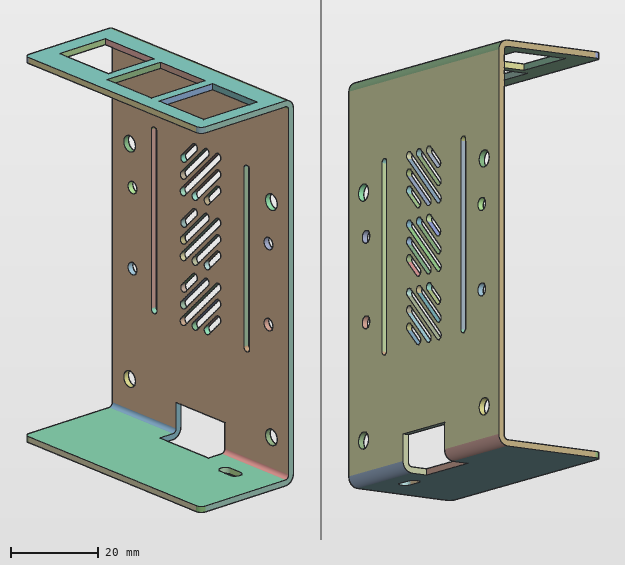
import cadquery as cq
import math

width = 61.0
depth = 28.5
height = 95.0
thickness = 1.5
inner_bend_radius = 1.0
outer_bend_radius = inner_bend_radius + thickness
flange_corner_radius = 1.5

top_z = height / 2
bottom_z = -height / 2

mount_hole_diameter = 4.0
mount_hole_x = 24.5
mount_hole_pitch = 58.0
upper_mount_hole_z = 20.5
small_hole_diameter = 3.0
small_hole_x = 23.5
small_hole_z = 10.0

slot_width = 1.9
slot_block_center_z = 4.1
vent_span = 12.1
vent_pitch = 4.05
vent_short_spans = (8.0, 3.8)
vent_group_pitch = 16.0
vent_angle = 45.0
long_slot_angle = 90.0
long_slot_x = 16.0
long_slot_length = 2 * vent_group_pitch + vent_span + slot_width

cutout_width = 16.8
cutout_top_z = -38.6
cutout_depth = 6.5

network_window = (-17.7, 16.8, 7.5, 14.0)
usb_window_width = 15.4
usb_window_back = 7.85
usb_window_length = 16.4
usb_window_pitch = 18.0
usb_window_x = 1.05
windows = [
    network_window,
    (usb_window_x, usb_window_width, usb_window_back, usb_window_length),
    (usb_window_x + usb_window_pitch, usb_window_width, usb_window_back, usb_window_length),
]

flange_slot_x = 18.25
flange_slot_y = -8.5
flange_slot_length = 6.4
flange_slot_width = 3.0


def bent_sheet():
    """C-shaped sheet: back wall with an upper and a lower flange pointing to -Y."""
    outer = (
        cq.Workplane("XY")
        .box(width, depth, height)
        .translate((0, -depth / 2, 0))
        .edges("|X and >Y")
        .fillet(outer_bend_radius)
    )
    inner = (
        cq.Workplane("XY")
        .box(width, depth, height - 2 * thickness)
        .translate((0, -depth / 2 - thickness, 0))
        .edges("|X and >Y")
        .fillet(inner_bend_radius)
    )
    return outer.cut(inner).edges("|Z and <Y").fillet(flange_corner_radius)


def wall_plane():
    """Sketch plane on the outer back face with local x = X, local y = Z and normal -Y."""
    return cq.Workplane("XZ")


def wall_holes():
    mount_points = []
    small_points = []
    for side in (-1, 1):
        for z in (upper_mount_hole_z, upper_mount_hole_z - mount_hole_pitch):
            mount_points.append((side * mount_hole_x, z))
        for z in (small_hole_z, -small_hole_z):
            small_points.append((side * small_hole_x, z))
    mount_holes = wall_plane().pushPoints(mount_points).circle(mount_hole_diameter / 2).extrude(thickness)
    small_holes = wall_plane().pushPoints(small_points).circle(small_hole_diameter / 2).extrude(thickness)
    return mount_holes.union(small_holes)


def long_slots():
    centers = [(-long_slot_x, slot_block_center_z), (long_slot_x, slot_block_center_z)]
    slots = wall_plane().pushPoints(centers).slot2D(long_slot_length, slot_width, long_slot_angle)
    return slots.extrude(thickness)


def diagonal_slot(upper_x, upper_z, span):
    """Diagonal slot running down and to -X from its upper end centre, span being its run in X."""
    slot_length = span / math.cos(math.radians(vent_angle)) + slot_width
    return (
        wall_plane()
        .center(upper_x - span / 2, upper_z - span / 2)
        .slot2D(slot_length, slot_width, vent_angle)
        .extrude(thickness)
    )


def vent_group(center_z):
    """One long diagonal slot with two shorter ones on each side of it."""
    right_x = vent_span / 2
    upper_z = center_z + vent_span / 2
    group = diagonal_slot(right_x, upper_z, vent_span)
    for step, span in enumerate(vent_short_spans, start=1):
        shift = step * vent_pitch
        group = group.union(diagonal_slot(right_x - shift, upper_z, span))
        group = group.union(diagonal_slot(right_x, upper_z - shift, span))
    return group


def cable_cutout():
    cutout_height = cutout_top_z - bottom_z
    return (
        cq.Workplane("XY")
        .box(cutout_width, cutout_depth, cutout_height)
        .translate((0, -cutout_depth / 2, bottom_z + cutout_height / 2))
    )


def connector_window(center_x, window_width, back_distance, length):
    return (
        cq.Workplane("XY")
        .box(window_width, length, thickness)
        .translate((center_x, -back_distance - length / 2, top_z - thickness / 2))
    )


def flange_slot():
    return (
        cq.Workplane("XY", origin=(flange_slot_x, flange_slot_y, bottom_z))
        .slot2D(flange_slot_length, flange_slot_width)
        .extrude(thickness)
    )


result = bent_sheet().cut(wall_holes()).cut(long_slots())
for group_step in (-1, 0, 1):
    result = result.cut(vent_group(slot_block_center_z + group_step * vent_group_pitch))
result = result.cut(cable_cutout())
for window in windows:
    result = result.cut(connector_window(*window))
result = result.cut(flange_slot())